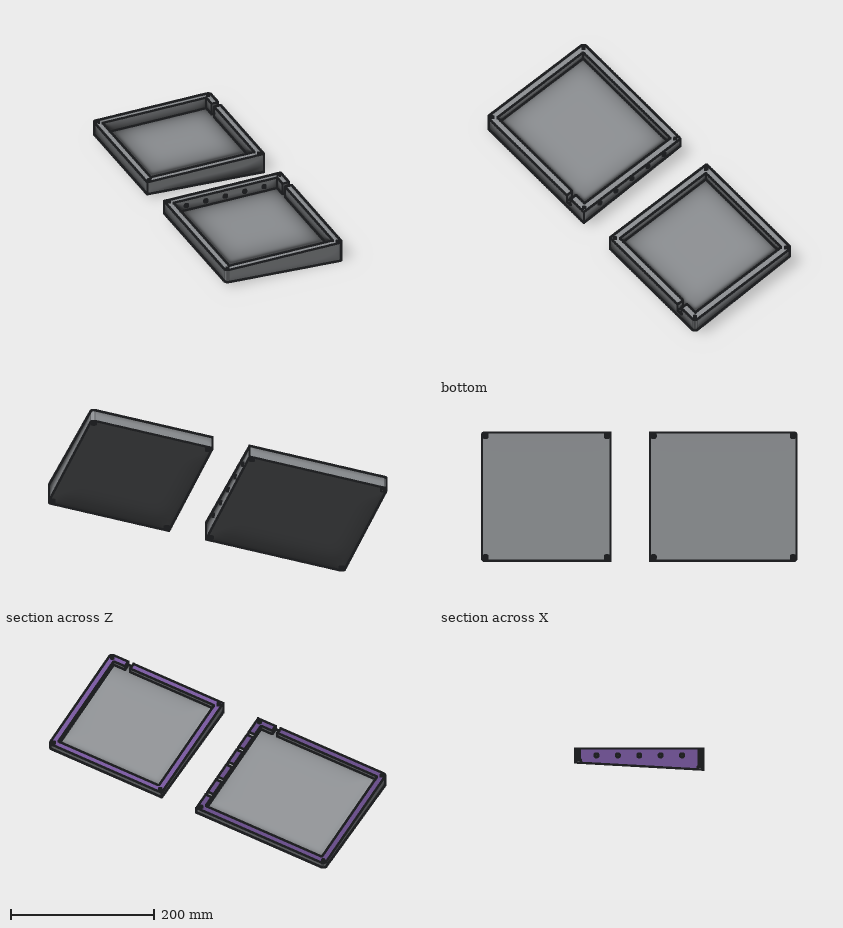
import cadquery as cq

total_length = 440.0
depth = 180.0
left_width = 180.0
right_width = 205.0
rear_height = 30.0
front_height = 20.0

wall = 10.0
pocket_depth = 17.0
corner_radius = 5.0
slot_offset = 28.0
slot_width = 8.0

screw_diameter = 3.4
screw_inset = wall / 2
head_diameter = 6.0
head_depth = 4.0

side_hole_diameter = 5.0
side_hole_count = 5
side_hole_pitch = 30.0
side_hole_drop = 9.5


def wedge(width):
    """Block with a flat top at rear_height and an underside rising towards the front."""
    profile = [
        (0, rear_height - front_height),
        (depth, 0),
        (depth, rear_height),
        (0, rear_height),
    ]
    return cq.Workplane("YZ").polyline(profile).close().extrude(width)


def pocket(width):
    """Level-floored recess inside the rim."""
    floor = rear_height - pocket_depth
    return cq.Workplane("XY").box(
        width - 2 * wall, depth - 2 * wall, pocket_depth, centered=False
    ).translate((wall, wall, floor))


def rear_slot():
    """Cable slot through the rear wall, down to the pocket floor."""
    return cq.Workplane("XY").box(
        slot_width, wall, pocket_depth, centered=False
    ).translate((slot_offset, depth - wall, rear_height - pocket_depth))


def screw_holes(width):
    """Vertical through holes in the rim corners, counterbored from the sloping underside."""
    corners = [
        (x, y)
        for x in (screw_inset, width - screw_inset)
        for y in (screw_inset, depth - screw_inset)
    ]
    holes = cq.Workplane("XY").pushPoints(corners).circle(screw_diameter / 2).extrude(rear_height)
    for x, y in corners:
        underside = (rear_height - front_height) * (1 - y / depth)
        head = cq.Workplane("XY").center(x, y).circle(head_diameter / 2).extrude(underside + head_depth)
        holes = holes.union(head)
    return holes


def side_holes():
    """Evenly spaced holes along Y through the -X wall, centred on the depth."""
    middle = (side_hole_count - 1) / 2
    centers = [
        (depth / 2 + (i - middle) * side_hole_pitch, rear_height - side_hole_drop)
        for i in range(side_hole_count)
    ]
    return cq.Workplane("YZ").pushPoints(centers).circle(side_hole_diameter / 2).extrude(wall)


def tray(width, rounded_side):
    """Open tray with rounded vertical corners on the given X side."""
    body = wedge(width).faces(rounded_side).edges("|Z").fillet(corner_radius)
    return body.cut(pocket(width)).cut(rear_slot()).cut(screw_holes(width))


left_tray = tray(left_width, "<X")
right_tray = tray(right_width, ">X").cut(side_holes()).translate((total_length - right_width, 0, 0))

result = cq.Compound.makeCompound([left_tray.val(), right_tray.val()])